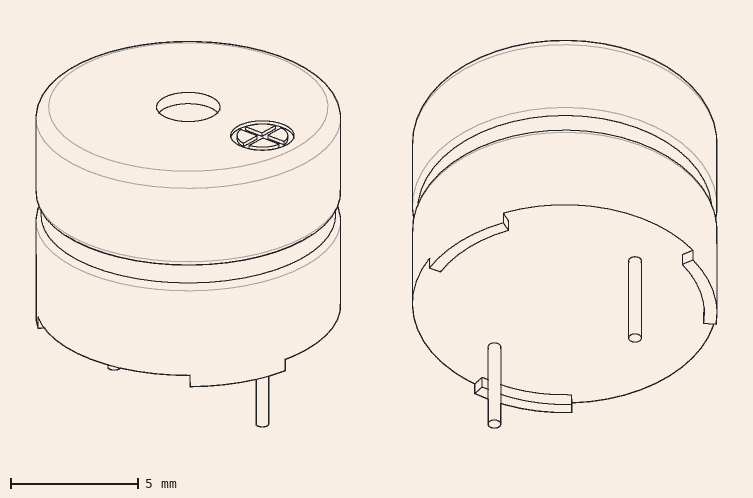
import cadquery as cq
import math


case_radius = 6.0
case_top = 9.3
case_underside = 0.5
top_edge_radius = 0.5

groove_radius = 5.8
groove_bottom = 4.5
groove_top = 5.3
groove_lip_radius = 0.25

foot_inner_radius = 5.5
foot_width = 4.0
foot_count = 3
foot_pitch = 360 / foot_count
foot_span = 2 * math.degrees(math.asin(foot_width / 2 / case_radius))
gap_span = foot_pitch - foot_span
first_gap_direction = 30.0

pin_radius = 0.25
pin_offset = 3.8
pin_tip = -3.5

sound_hole_radius = 1.25
sound_hole_depth = 0.5

mark_offset = 3.8
mark_radius = 1.25
mark_depth = 0.15
mark_disc_radius = 1.0
mark_arm_width = 0.3


def arc_point(center_x, center_y, radius, angle):
    """Point on a circle, with the angle in degrees."""
    radians = math.radians(angle)
    return (center_x + radius * math.cos(radians), center_y + radius * math.sin(radians))


def make_case():
    """Case with its full skirt, revolved; local X is the radius and local Y is the height."""
    lip_center = case_radius - groove_lip_radius
    lip_sweep = math.degrees(math.acos((groove_radius - lip_center) / groove_lip_radius))
    lip_height = groove_lip_radius * math.sin(math.radians(lip_sweep))
    lower_lip = groove_bottom - lip_height
    upper_lip = groove_top + lip_height

    top_center_x = case_radius - top_edge_radius
    top_center_y = case_top - top_edge_radius

    profile = (
        cq.Workplane("XZ")
        .moveTo(0, case_underside)
        .lineTo(foot_inner_radius, case_underside)
        .lineTo(foot_inner_radius, 0)
        .lineTo(case_radius, 0)
        .lineTo(case_radius, lower_lip)
        .threePointArc(
            arc_point(lip_center, lower_lip, groove_lip_radius, lip_sweep / 2),
            (groove_radius, groove_bottom),
        )
        .lineTo(groove_radius, groove_top)
        .threePointArc(
            arc_point(lip_center, upper_lip, groove_lip_radius, -lip_sweep / 2),
            (case_radius, upper_lip),
        )
        .lineTo(case_radius, top_center_y)
        .threePointArc(
            arc_point(top_center_x, top_center_y, top_edge_radius, 45),
            (top_center_x, case_top),
        )
        .lineTo(0, case_top)
        .close()
    )
    return profile.revolve(360, (0, 0, 0), (0, 1, 0))


def make_foot_gap(direction):
    """Triangular wedge from the axis outwards that clears the skirt between two feet."""
    start = direction - gap_span / 2
    end = direction + gap_span / 2
    wedge_length = 2 * case_radius
    return (
        cq.Workplane("XY")
        .polyline([(0, 0), arc_point(0, 0, wedge_length, start), arc_point(0, 0, wedge_length, end)])
        .close()
        .extrude(case_underside)
    )


def make_pins():
    return (
        cq.Workplane("XY", origin=(0, 0, pin_tip))
        .pushPoints([(-pin_offset, 0), (pin_offset, 0)])
        .circle(pin_radius)
        .extrude(case_underside - pin_tip)
    )


def make_sound_hole():
    return (
        cq.Workplane("XY", origin=(0, 0, case_top - sound_hole_depth))
        .circle(sound_hole_radius)
        .extrude(sound_hole_depth)
    )


def mark_floor():
    return cq.Workplane("XY", origin=(mark_offset, 0, case_top - mark_depth))


def make_mark_cut():
    """Volume removed around the four quadrants: a shallow disc less the quadrants."""
    arm_length = 2 * mark_radius
    arm_along_x = mark_floor().rect(arm_length, mark_arm_width).extrude(mark_depth)
    arm_along_y = mark_floor().rect(mark_arm_width, arm_length).extrude(mark_depth)
    inner_disc = mark_floor().circle(mark_disc_radius).extrude(mark_depth)
    quadrants = inner_disc.cut(arm_along_x).cut(arm_along_y)
    return mark_floor().circle(mark_radius).extrude(mark_depth).cut(quadrants)


result = make_case()
for gap_number in range(foot_count):
    gap_direction = first_gap_direction + gap_number * foot_pitch
    result = result.cut(make_foot_gap(gap_direction))
result = result.union(make_pins())
result = result.cut(make_sound_hole())
result = result.cut(make_mark_cut())